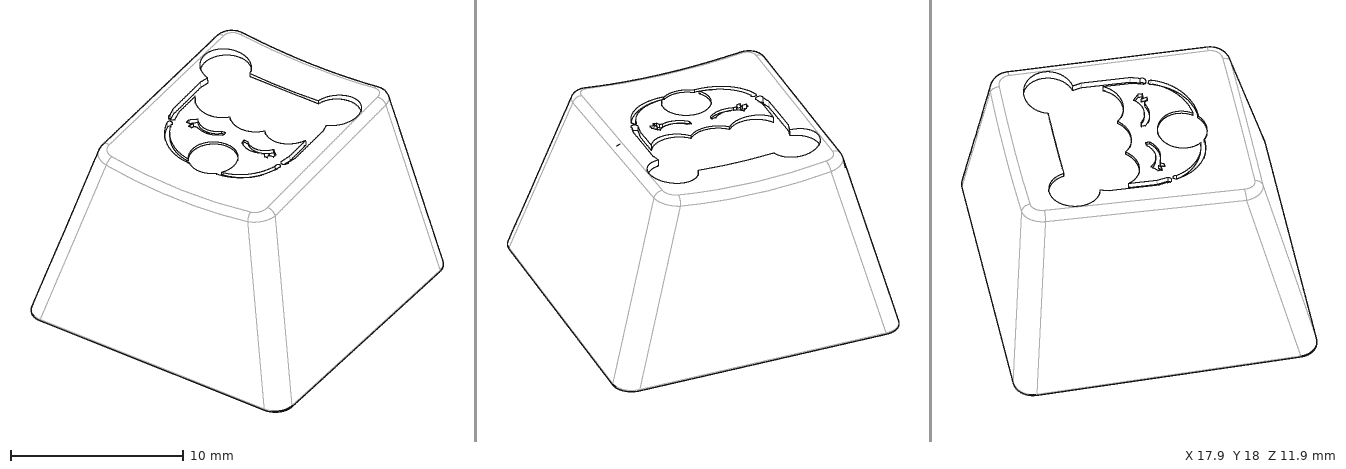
import cadquery as cq
import math

BASE_X = 17.94
BASE_Y = 17.96
RIM_HEIGHT = 0.1
SIDE_LEAN = 14.9
FRONT_LEAN = 13.6
REAR_LEAN = 5.5
CORNER_RADIUS = 1.2
BLANK_HEIGHT = 13.0

DISH_RADIUS = 35.0
DISH_TILT = 2.67
DISH_BOTTOM_Z = 11.21
TOP_EDGE_RADIUS = 0.5

FACE_DEPTH = 0.15
POCKET_REACH = 2.0

EAR_X = 3.84
EAR_Y = 4.60
EAR_RADIUS = 1.49
NOSE_Y = -2.56
NOSE_RADIUS = 1.45

HEAD_TOP_Y = 4.93
TEMPLE = (4.12, 3.20)
HEAD_HALF_WIDTH = 4.27
SHOULDER_Y = 2.60
LOCK_BEND_Y = -0.30
LOCK_OUTER_END = (4.13, -0.85)
LOCK_TIP = (3.92, -1.15)
LOCK_INNER_END = (3.70, -0.98)
FRINGE_HALF_WIDTH = 3.85
FRINGE_OUTER_Y = 1.39
SCALLOP_PEAK = (1.22, 1.05)
SCALLOP_LOW_Y = 0.49
OUTER_SCALLOP_X = 2.47

BAND_OUTER_TOP = (3.92, -1.45)
BAND_TIP = (3.78, -1.27)
BAND_INNER_TOP = (3.63, -1.50)
BAND_INNER_MIDDLE = (2.78, -2.73)
BAND_INNER_END = (1.13, -3.43)
BAND_OUTER_END = (1.00, -3.70)
BAND_OUTER_MIDDLE = (3.14, -2.81)

LID_INNER_LOW = (0.66, -0.50)
LID_INNER_HIGH = (0.64, -0.26)
LID_TOP_START = (0.91, -0.28)
LID_TOP_MIDDLE = (1.76, -0.63)
LASH_CORNERS = [
    (2.64, -0.17),
    (3.03, -0.53),
    (3.03, -0.77),
    (2.78, -0.77),
    (2.64, -0.63),
    (2.74, -0.99),
    (2.55, -0.99),
    (2.42, -0.79),
    (2.24, -0.79),
]
LID_LOW_MIDDLE = (1.72, -0.92)


def skirt():
    """Rounded, leaning-walled blank standing on a short upright rim."""
    rise = BLANK_HEIGHT - RIM_HEIGHT
    side_inset = rise * math.tan(math.radians(SIDE_LEAN))
    front_inset = rise * math.tan(math.radians(FRONT_LEAN))
    rear_inset = rise * math.tan(math.radians(REAR_LEAN))
    top_x = BASE_X - 2 * side_inset
    top_y = BASE_Y - front_inset - rear_inset
    top_shift = (front_inset - rear_inset) / 2

    walls = (
        cq.Workplane("XY", origin=(0, 0, RIM_HEIGHT))
        .rect(BASE_X, BASE_Y)
        .workplane(offset=rise)
        .center(0, top_shift)
        .rect(top_x, top_y)
        .loft(combine=True)
    )
    walls = walls.edges("not(#Z)").fillet(CORNER_RADIUS)
    rim = walls.faces("<Z").wires().toPending().workplane().extrude(RIM_HEIGHT, combine=False)
    return walls.union(rim)


def dish_plane(drop=0.0):
    """Plane along the tilted dish floor line, lowered by drop along its normal."""
    tilt = math.radians(DISH_TILT)
    normal = cq.Vector(0, -math.sin(tilt), math.cos(tilt))
    origin = cq.Vector(0, 0, DISH_BOTTOM_Z) - normal * drop
    return cq.Plane(origin=origin, xDir=(1, 0, 0), normal=normal)


def dish_cutter():
    """Cylinder whose axis runs front to back, parallel to the sloping top."""
    plane = dish_plane()
    axis_start = plane.toWorldCoords((0, -BASE_Y, DISH_RADIUS))
    cylinder = cq.Solid.makeCylinder(DISH_RADIUS, 2 * BASE_Y, axis_start, plane.yDir)
    return cq.Workplane(obj=cylinder)


def half_head_outline(floor):
    """+X half of the head, run past the centre line to take in the middle scallop."""
    peak_x, peak_y = SCALLOP_PEAK
    return (
        floor.moveTo(-peak_x, HEAD_TOP_Y)
        .lineTo(TEMPLE[0], HEAD_TOP_Y)
        .lineTo(*TEMPLE)
        .lineTo(HEAD_HALF_WIDTH, SHOULDER_Y)
        .lineTo(HEAD_HALF_WIDTH, LOCK_BEND_Y)
        .lineTo(*LOCK_OUTER_END)
        .threePointArc(LOCK_TIP, LOCK_INNER_END)
        .lineTo(FRINGE_HALF_WIDTH, LOCK_BEND_Y)
        .lineTo(FRINGE_HALF_WIDTH, FRINGE_OUTER_Y)
        .threePointArc((OUTER_SCALLOP_X, SCALLOP_LOW_Y), SCALLOP_PEAK)
        .threePointArc((0, SCALLOP_LOW_Y), (-peak_x, peak_y))
        .close()
    )


def ear_outline(floor):
    """Round +X ear."""
    return floor.center(EAR_X, EAR_Y).circle(EAR_RADIUS)


def cheek_outline(floor):
    """Curved band from the +X cheek down into the nose."""
    return (
        floor.moveTo(*BAND_OUTER_TOP)
        .threePointArc(BAND_TIP, BAND_INNER_TOP)
        .threePointArc(BAND_INNER_MIDDLE, BAND_INNER_END)
        .lineTo(0, NOSE_Y)
        .lineTo(*BAND_OUTER_END)
        .threePointArc(BAND_OUTER_MIDDLE, BAND_OUTER_TOP)
        .close()
    )


def eye_outline(floor):
    """Closed +X eye: a drooping lid with lashes at its outer end."""
    return (
        floor.moveTo(*LID_INNER_HIGH)
        .lineTo(*LID_TOP_START)
        .threePointArc(LID_TOP_MIDDLE, LASH_CORNERS[0])
        .polyline(LASH_CORNERS[1:], includeCurrent=True)
        .threePointArc(LID_LOW_MIDDLE, LID_INNER_LOW)
        .close()
    )


def face_cutter():
    """All bear-face pockets, rising square to the tilted floor."""
    floor_plane = dish_plane(FACE_DEPTH)
    cutter = cq.Workplane(floor_plane).center(0, NOSE_Y).circle(NOSE_RADIUS).extrude(POCKET_REACH)
    for outline in (half_head_outline, ear_outline, cheek_outline, eye_outline):
        half = outline(cq.Workplane(floor_plane)).extrude(POCKET_REACH)
        cutter = cutter.union(half).union(half.mirror("YZ"))
    return cutter


keycap = skirt().cut(dish_cutter())
keycap = keycap.faces(">Z").edges().fillet(TOP_EDGE_RADIUS)
result = keycap.cut(face_cutter())